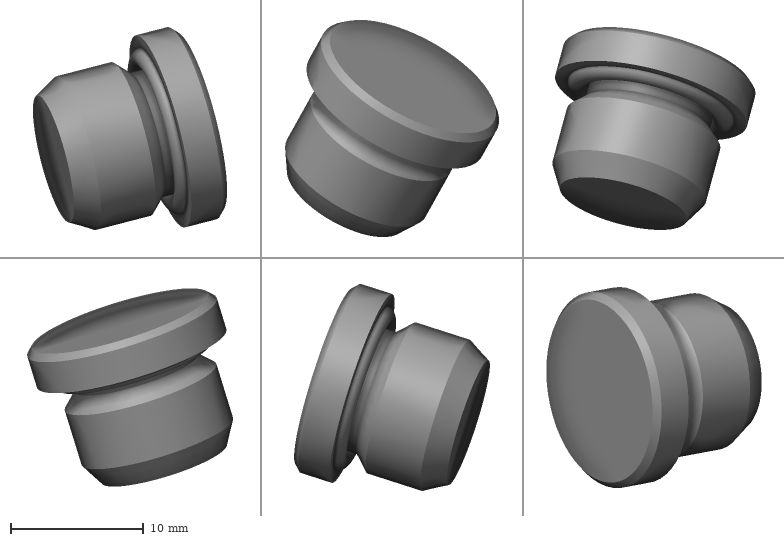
import cadquery as cq
import math

total_length = 11.5
head_radius = 7.5
head_thickness = 3.0
head_chamfer = 0.5

neck_radius = 9.7 / 2
neck_end = 4.2

body_radius = 6.0
tip_cone_length = 1.8
tip_cone_angle = 30.0

ring_height = 0.7
ring_section_radius = 0.82

shoulder_end = neck_end + body_radius - neck_radius
tip_start = total_length - tip_cone_length
tip_radius = body_radius - tip_cone_length * math.tan(math.radians(tip_cone_angle))


def make_plug():
    """Solid head, neck and body; profile points are (radius, -distance from back)."""
    profile = cq.Workplane("XY").polyline([
        (0, 0),
        (head_radius - head_chamfer, 0),
        (head_radius, -head_chamfer),
        (head_radius, -head_thickness),
        (neck_radius, -head_thickness),
        (neck_radius, -neck_end),
        (body_radius, -shoulder_end),
        (body_radius, -tip_start),
        (tip_radius, -total_length),
        (0, -total_length),
    ])
    return profile.close().revolve(360, (0, 0, 0), (0, 1, 0))


def make_seal_ring():
    """Round-section ring hugging the neck, partly sunk into the head."""
    center_radius = neck_radius + ring_section_radius
    center_depth = head_thickness + ring_height - ring_section_radius
    section = cq.Workplane("XY").center(center_radius, -center_depth).circle(ring_section_radius)
    return section.revolve(360, (-center_radius, 0, 0), (-center_radius, 1, 0))


result = make_plug().union(make_seal_ring())